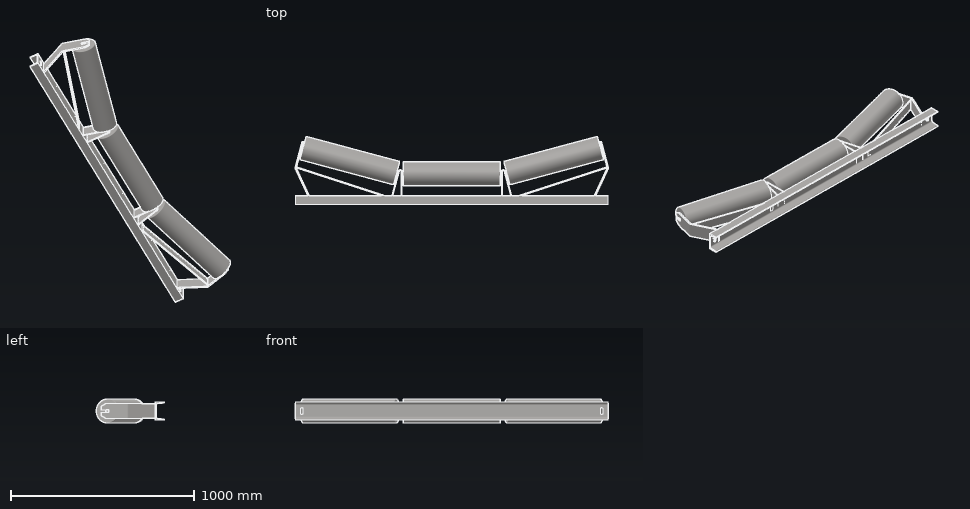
import cadquery as cq
import math

half_span = 1710.15 / 2
overall_depth = 372.49

channel_length = 1706.0
channel_height = 100.0
flange_width = 50.0
web_thickness = 6.0
flange_thickness = 8.5
flange_taper = 0.08
root_radius = 8.5
toe_radius = 4.5
mount_slot_width = 14.0
mount_slot_length = 36.0
mount_slot_inset = 35.0

roller_diameter = 133.0
roller_length = 530.0
roller_edge_radius = 4.0
shaft_diameter = 20.0
shaft_flat_width = 14.0
shaft_overhang = 11.0
seat_gap = 6.0
trough_angle = 15.0
middle_axis_y = 169.0
outer_roller_x = 556.0

bracket_width = 80.0
outer_plate = 8.0
outer_inner_radius = 4.0
outer_leg_angle = 25.0
outer_tip_above_shaft = 34.0
tip_chamfer_across = 15.0
tip_chamfer_along = 25.0
middle_plate = 5.0
middle_bend_radius = 10.0
brace_plate = 6.0
brace_width = 60.0
brace_angle = 18.0

tilt = math.radians(trough_angle)
axis_dir = cq.Vector(math.cos(tilt), math.sin(tilt))
face_dir = cq.Vector(-math.sin(tilt), math.cos(tilt))
seat_offset = roller_length / 2 + seat_gap
roller_radius = roller_diameter / 2
channel_back_y = flange_width

corner_height = (
    (roller_length / 2 - roller_edge_radius) * math.sin(tilt)
    + (roller_radius - roller_edge_radius) * math.cos(tilt)
    + roller_edge_radius
)
outer_roller_center = cq.Vector(outer_roller_x, overall_depth - corner_height)


def extrude_profile(points, width):
    """Closed XY outline extruded symmetrically about Z = 0."""
    outline = [(p.x, p.y) for p in points]
    return cq.Workplane("XY").polyline(outline).close().extrude(width / 2, both=True)


def mirrored(body):
    return body.mirror("YZ")


def on_outer_roller(body):
    """Moves a body from the origin onto the tilted axis of the right-hand roller."""
    return body.rotate((0, 0, 0), (0, 0, 1), trough_angle).translate(outer_roller_center)


def fold_fillet(body, point, radius):
    """Rounds the fold edge that runs along Z through an XY point."""
    edge = cq.selectors.NearestToPointSelector((point.x, point.y, 0))
    return body.edges("|Z").edges(edge).fillet(radius)


def make_channel():
    half_height = channel_height / 2
    taper_rise = flange_taper * flange_width / 2
    toe_z = half_height - flange_thickness + taper_rise
    root_z = toe_z - flange_taper * (flange_width - web_thickness)
    inner_y = flange_width - web_thickness
    outline = [
        (0, half_height),
        (flange_width, half_height),
        (flange_width, -half_height),
        (0, -half_height),
        (0, -toe_z),
        (inner_y, -root_z),
        (inner_y, root_z),
        (0, toe_z),
    ]
    beam = cq.Workplane("YZ").polyline(outline).close().extrude(channel_length / 2, both=True)
    for side in (1, -1):
        root = cq.selectors.NearestToPointSelector((0, inner_y, side * root_z))
        beam = beam.edges("|X").edges(root).fillet(root_radius)
        toe = cq.selectors.NearestToPointSelector((0, 0, side * toe_z))
        beam = beam.edges("|X").edges(toe).fillet(toe_radius)
    slot_x = channel_length / 2 - mount_slot_inset
    slots = (
        cq.Workplane("XZ")
        .pushPoints([(-slot_x, 0), (slot_x, 0)])
        .slot2D(mount_slot_length, mount_slot_width, 90)
        .extrude(-flange_width)
    )
    return beam.cut(slots)


def along_axis(profile, start, end):
    """Extrudes a profile drawn on the YZ plane between two stations on X."""
    return profile.extrude(end - start).translate((start, 0, 0))


def tongue_profile():
    """Flattened shaft end with full-round edges."""
    return cq.Workplane("YZ").slot2D(shaft_diameter, shaft_flat_width)


def make_roller():
    """Roller along X at the origin, on a shaft with flats outside the seat faces."""
    shell = (
        cq.Workplane("YZ", origin=(-roller_length / 2, 0, 0))
        .circle(roller_radius)
        .extrude(roller_length)
        .edges()
        .fillet(roller_edge_radius)
    )
    shaft = along_axis(cq.Workplane("YZ").circle(shaft_diameter / 2), -seat_offset, seat_offset)
    shaft_end = roller_length / 2 + shaft_overhang
    tongue = along_axis(tongue_profile(), -shaft_end, shaft_end)
    return shell.union(shaft).union(tongue)


def seat_cutter(depth):
    """Open-topped, round-bottomed seat cut outwards from the seat face of a roller at the origin."""
    seat = along_axis(tongue_profile(), seat_offset, seat_offset + depth)
    opening = cq.Workplane("XY", origin=(seat_offset, 0, 0)).box(
        depth, roller_radius, shaft_flat_width, centered=(False, False, True)
    )
    return seat.union(opening)


outer_bend_radius = outer_inner_radius + outer_plate
leg_tilt = math.radians(outer_leg_angle)
leg_dir = cq.Vector(-math.sin(leg_tilt), -math.cos(leg_tilt))
leg_normal = cq.Vector(math.cos(leg_tilt), -math.sin(leg_tilt))
outer_seat = outer_roller_center + axis_dir * seat_offset

fold_line = outer_seat + axis_dir * (outer_plate - outer_bend_radius)
fold_drop = (fold_line.x - (half_span - outer_bend_radius)) / face_dir.x
fold_center = fold_line - face_dir * fold_drop
half_turn = (tilt + leg_tilt) / 2
fold_dir = (axis_dir + leg_normal).normalized()
outer_corner = fold_center + fold_dir * (outer_bend_radius / math.cos(half_turn))
inner_corner = fold_center + fold_dir * (outer_inner_radius / math.cos(half_turn))


def drop_to_channel(point, direction):
    """Follows a direction from a point down to the back of the channel."""
    return point + direction * ((channel_back_y - point.y) / direction.y)


def make_outer_bracket():
    tip = outer_seat + face_dir * outer_tip_above_shaft
    plate = extrude_profile(
        [
            tip,
            inner_corner,
            drop_to_channel(inner_corner, leg_dir),
            drop_to_channel(outer_corner, leg_dir),
            outer_corner,
            tip + axis_dir * outer_plate,
        ],
        bracket_width,
    )
    plate = fold_fillet(plate, inner_corner, outer_inner_radius)
    plate = fold_fillet(plate, outer_corner, outer_bend_radius)

    corner_cuts = cq.Workplane("YZ", origin=(seat_offset, 0, 0))
    for side in (1, -1):
        corner_cuts = corner_cuts.polyline(
            [
                (outer_tip_above_shaft, side * bracket_width / 2),
                (outer_tip_above_shaft, side * (bracket_width / 2 - tip_chamfer_across)),
                (outer_tip_above_shaft - tip_chamfer_along, side * bracket_width / 2),
            ]
        ).close()
    corner_cuts = corner_cuts.extrude(outer_plate)
    return plate.cut(on_outer_roller(corner_cuts)).cut(on_outer_roller(seat_cutter(outer_plate)))


def make_middle_bracket():
    """Folded plate between the middle roller and the right-hand roller."""
    upright_x = seat_offset
    lean_seat = outer_roller_center - axis_dir * seat_offset
    reach = (upright_x - lean_seat.x) / face_dir.x
    apex = lean_seat + face_dir * reach
    inner_apex = cq.Vector(upright_x + middle_plate, apex.y - middle_plate / math.tan(tilt / 2))
    plate = extrude_profile(
        [
            apex,
            cq.Vector(upright_x, channel_back_y),
            cq.Vector(upright_x + middle_plate, channel_back_y),
            inner_apex,
            drop_to_channel(inner_apex, face_dir),
            drop_to_channel(apex, face_dir),
        ],
        bracket_width,
    )
    plate = fold_fillet(plate, inner_apex, middle_bend_radius - middle_plate)
    plate = fold_fillet(plate, apex, middle_bend_radius)
    lean_cut = on_outer_roller(mirrored(seat_cutter(middle_bend_radius)))
    upright_cut = seat_cutter(middle_bend_radius).translate((0, middle_axis_y, 0))
    return plate.cut(upright_cut).cut(lean_cut)


def make_brace():
    """Flat strut from the inside of the outer bracket's fold down to the channel."""
    slope = math.radians(brace_angle)
    down = cq.Vector(-math.cos(slope), -math.sin(slope))
    upper_corner = inner_corner + cq.Vector(0, brace_plate / math.cos(slope))
    strut = extrude_profile(
        [
            upper_corner,
            drop_to_channel(upper_corner, down),
            drop_to_channel(inner_corner, down),
            inner_corner,
        ],
        brace_width,
    )
    return strut.cut(make_outer_bracket())


roller = make_roller()
middle_roller = roller.translate((0, middle_axis_y, 0))
outer_roller = on_outer_roller(roller)
outer_bracket = make_outer_bracket()
middle_bracket = make_middle_bracket()
brace = make_brace()
channel = make_channel()

bodies = [channel.val(), middle_roller.val()]
for right_hand in (outer_roller, outer_bracket, middle_bracket, brace):
    bodies += [right_hand.val(), mirrored(right_hand).val()]
result = cq.Compound.makeCompound(bodies)